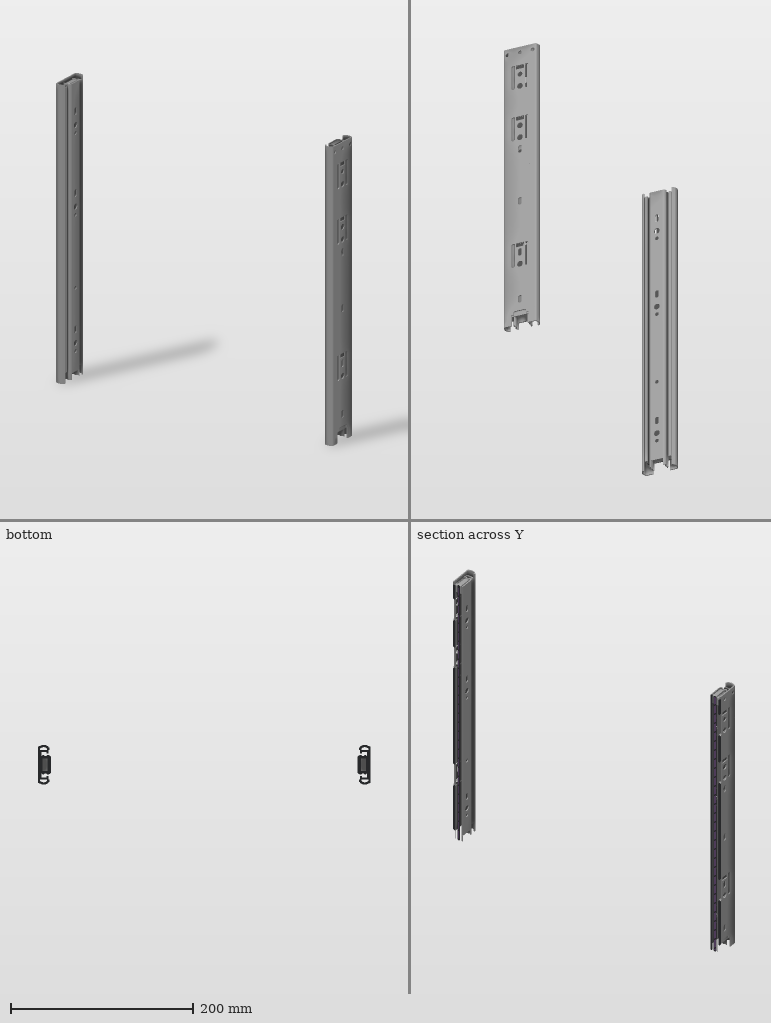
import cadquery as cq


span = 364.0
length = 350.0
top_z = length / 2
sheet = 1.27

outer_half_width = 21.0
flange_bow = 0.9
outer_corner = 2.2
flange_depth = 9.5
lip_depth = 11.45
lip_start_y = 18.2
lip_end_y = 16.7

middle_x = 1.65
middle_half_width = 15.5
middle_corner = 0.7
middle_depth = 10.75
middle_lip_y = 12.7
middle_top_z = 171.0
middle_bottom_z = -163.0

inner_x = 13.5
inner_half_width = 10.2
inner_corner = 3.3
groove_depth = 1.27
groove_end_x = 5.5
inner_end_x = 3.45
inner_top_z = 173.3

small_hole = 4.5
large_hole = 7.0
middling_hole = 6.0
slot_width = 4.5
slot_length = 9.0

clip_tops = [152.0, 87.5, -72.5]
clip_half_width = 10.2
clip_length = 30.0
strip_half_width = 6.2
clip_window_half_width = 4.7
clip_window_height = 4.7
clip_corner = 1.5
upper_hole_drop = 11.5
lower_hole_drop = 26.5
opening_half_width = 7.5

locating_hole_z = 167.8
locating_hole_y = 15.3
mounting_slots = [46.0, -19.5, -143.5]
middle_hole = 5.0
middle_hole_z = 43.5

outer_notch_top_z = -161.5
relief_half_width = 7.5
relief_top_z = -157.5
relief_corner = 1.0
inner_notch_half_width = 7.3
inner_notch_top_z = -165.5

inner_slots = [139.0, 43.3, -116.5]
inner_large_drop = 16.0
inner_small_drop = 25.5
inner_single_hole_z = -67.7

stopper_ledge_x = 6.2
stopper_ledge_drop = 2.0
stopper_back_x = 11.0
stopper_length = 11.0
stopper_slope_width = 1.5
stopper_slope_drop = 0.55

cut_depth = 3 * sheet


def mirrored_section(half, bottom_z, top):
    """Extrude the +Y half of a rail section between two heights and add its mirror image."""
    half_solid = half.close().extrude(top - bottom_z).translate((0, 0, bottom_z))
    return half_solid.union(half_solid.mirror("XZ")).clean()


def web_plane(x):
    """A sketch plane across a web, with Y and Z of the part as its axes, reaching toward +X."""
    return cq.Workplane("YZ", origin=(x - sheet, 0, 0))


def hole_cutter(x, y, z, diameter):
    return web_plane(x).center(y, z).circle(diameter / 2).extrude(cut_depth)


def slot_cutter(x, z):
    return web_plane(x).center(0, z).slot2D(slot_length, slot_width, 90).extrude(cut_depth)


def box_cutter(x, half_width, bottom_z, top):
    middle_z = (bottom_z + top) / 2
    return web_plane(x).center(0, middle_z).rect(2 * half_width, top - bottom_z).extrude(cut_depth)


def clip_cutter(top):
    """Two upright slots with round lower ends, and the small window between their upper ends."""
    slot_y = (clip_half_width + strip_half_width) / 2
    half_slot = (clip_half_width - strip_half_width) / 2
    lower_center_z = top - clip_length + half_slot
    cutter = box_cutter(0, clip_window_half_width, top - clip_window_height, top)
    for side in (-1, 1):
        slot = (
            web_plane(0)
            .moveTo(side * strip_half_width, top)
            .lineTo(side * (clip_half_width - clip_corner), top)
            .radiusArc((side * clip_half_width, top - clip_corner), side * clip_corner)
            .lineTo(side * clip_half_width, lower_center_z)
            .threePointArc((side * slot_y, top - clip_length), (side * strip_half_width, lower_center_z))
            .close()
            .extrude(cut_depth)
        )
        cutter = cutter.union(slot)
    return cutter


def make_outer_rail():
    flange_y = outer_half_width - flange_bow
    inside_y = flange_y - sheet
    bow_x = (outer_corner + flange_depth) / 2
    half = (
        cq.Workplane("XY")
        .lineTo(0, flange_y - outer_corner)
        .radiusArc((outer_corner, flange_y), outer_corner)
        .threePointArc((bow_x, outer_half_width), (flange_depth, flange_y))
        .lineTo(lip_depth, lip_start_y)
        .lineTo(lip_depth, lip_end_y)
        .lineTo(lip_depth - sheet, lip_end_y)
        .lineTo(flange_depth, inside_y)
        .threePointArc((bow_x, outer_half_width - sheet), (outer_corner, inside_y))
        .radiusArc((sheet, flange_y - outer_corner), -(outer_corner - sheet))
        .lineTo(sheet, 0)
    )
    rail = mirrored_section(half, -top_z, top_z)

    for y in (-locating_hole_y, 0, locating_hole_y):
        rail = rail.cut(hole_cutter(0, y, locating_hole_z, small_hole))
    for z in mounting_slots:
        rail = rail.cut(slot_cutter(0, z))

    for top in clip_tops:
        rail = rail.cut(clip_cutter(top))
        rail = rail.cut(hole_cutter(0, 0, top - lower_hole_drop, large_hole))
    first, second, third = [top - upper_hole_drop for top in clip_tops]
    rail = rail.cut(hole_cutter(0, 0, first, middling_hole))
    rail = rail.cut(hole_cutter(0, 0, second, large_hole))
    rail = rail.cut(slot_cutter(0, third))

    rail = rail.cut(box_cutter(0, clip_half_width, -top_z, outer_notch_top_z))
    relief = box_cutter(0, relief_half_width, outer_notch_top_z, relief_top_z)
    return rail.cut(relief.edges("|X and >Z").fillet(relief_corner))


def make_middle_rail():
    inside_y = middle_half_width - sheet
    half = (
        cq.Workplane("XY")
        .moveTo(middle_x, 0)
        .lineTo(middle_x, middle_half_width - middle_corner)
        .radiusArc((middle_x + middle_corner, middle_half_width), middle_corner)
        .lineTo(middle_depth, middle_half_width)
        .lineTo(middle_depth, middle_lip_y)
        .lineTo(middle_depth - sheet, middle_lip_y)
        .lineTo(middle_depth - sheet, inside_y)
        .lineTo(middle_x + sheet, inside_y)
        .lineTo(middle_x + sheet, 0)
    )
    rail = mirrored_section(half, middle_bottom_z, middle_top_z)
    for top in clip_tops:
        rail = rail.cut(box_cutter(middle_x, opening_half_width, top - clip_length, top))
    return rail.cut(hole_cutter(middle_x, 0, middle_hole_z, middle_hole))


def make_inner_rail():
    corner_x = inner_x - inner_corner
    groove_x = (corner_x + groove_end_x) / 2
    groove_y = inner_half_width - groove_depth
    half = (
        cq.Workplane("XY")
        .moveTo(inner_x, 0)
        .lineTo(inner_x, inner_half_width - inner_corner)
        .radiusArc((corner_x, inner_half_width), -inner_corner)
        .threePointArc((groove_x, groove_y), (groove_end_x, inner_half_width))
        .lineTo(inner_end_x, groove_y)
        .lineTo(inner_end_x, groove_y - sheet)
        .lineTo(groove_end_x, inner_half_width - sheet)
        .threePointArc((groove_x, groove_y - sheet), (corner_x, inner_half_width - sheet))
        .radiusArc((inner_x - sheet, inner_half_width - inner_corner), inner_corner - sheet)
        .lineTo(inner_x - sheet, 0)
    )
    rail = mirrored_section(half, -inner_top_z, inner_top_z)

    web_x = inner_x - sheet
    for z in inner_slots:
        rail = rail.cut(slot_cutter(web_x, z))
        rail = rail.cut(hole_cutter(web_x, 0, z - inner_large_drop, large_hole))
        rail = rail.cut(hole_cutter(web_x, 0, z - inner_small_drop, small_hole))
    rail = rail.cut(hole_cutter(web_x, 0, inner_single_hole_z, small_hole))
    return rail.cut(box_cutter(web_x, inner_notch_half_width, -inner_top_z, inner_notch_top_z))


def make_stopper():
    """Block between the flanges of the inner rail, its top sloping down toward both flanges."""
    half_width = inner_half_width - groove_depth - sheet
    flat_half_width = half_width - stopper_slope_width
    bottom_z = inner_top_z - stopper_length
    shoulder_z = inner_top_z - stopper_slope_drop
    block = (
        cq.Workplane("YZ", origin=(inner_end_x, 0, 0))
        .moveTo(-half_width, bottom_z)
        .lineTo(half_width, bottom_z)
        .lineTo(half_width, shoulder_z)
        .lineTo(flat_half_width, inner_top_z)
        .lineTo(-flat_half_width, inner_top_z)
        .lineTo(-half_width, shoulder_z)
        .close()
        .extrude(stopper_back_x - inner_end_x)
    )
    ledge_space = cq.Workplane("XY").box(
        stopper_ledge_x - inner_end_x, 2 * half_width, stopper_ledge_drop, centered=(False, True, False)
    )
    return block.cut(ledge_space.translate((inner_end_x, 0, inner_top_z - stopper_ledge_drop)))


bodies = []
for make_body in (make_outer_rail, make_middle_rail, make_inner_rail, make_stopper):
    left_body = make_body().translate((-span / 2, 0, 0))
    right_body = left_body.mirror("YZ")
    bodies.append(left_body.solids().val())
    bodies.append(right_body.solids().val())

result = cq.Compound.makeCompound(bodies)